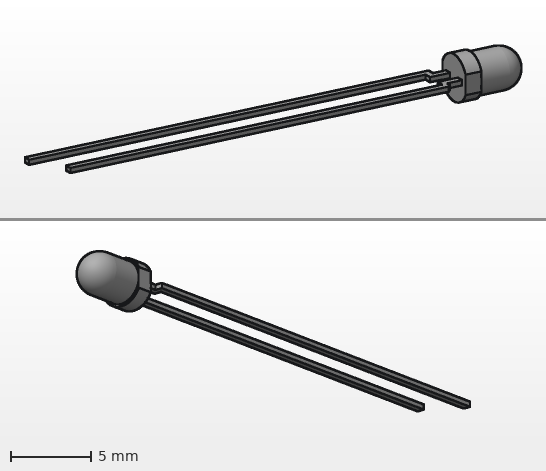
import cadquery as cq

flange_diameter = 3.18
flange_thickness = 1.15
barrel_diameter = 2.85
barrel_radius = barrel_diameter / 2
barrel_length = 2.1
flat_spacing = barrel_diameter

overall_length = 34.9
leads_outer_width = 3.05
lead_width = 0.52
lead_thickness = 0.35
shoulder_depth = 0.95
step_depth = shoulder_depth + lead_width
lead_length_difference = 1.5
sloped_shoulder_depth = 1.05
shoulder_chamfer = 0.25

barrel_top = flange_thickness + barrel_length
lens_height = barrel_top + barrel_radius
long_lead_length = overall_length - lens_height
short_lead_length = long_lead_length - lead_length_difference
lead_outer_x = leads_outer_width / 2
lead_inner_x = lead_outer_x - lead_width
stub_inner_x = lead_inner_x - lead_width


def make_lens():
    """Revolved flange, barrel and hemispherical dome, with flats on both sides of the flange."""
    flange = (
        cq.Workplane("XZ")
        .circle(flange_diameter / 2)
        .extrude(-flange_thickness)
        .intersect(
            cq.Workplane("XY").box(flat_spacing, 2 * flange_thickness, flange_diameter)
        )
    )
    dome_mid = barrel_radius * 0.5 ** 0.5
    barrel_and_dome = (
        cq.Workplane("XY")
        .lineTo(barrel_radius, 0)
        .lineTo(barrel_radius, barrel_top)
        .threePointArc((dome_mid, barrel_top + dome_mid), (0, lens_height))
        .close()
        .revolve(360, (0, 0, 0), (0, 1, 0))
    )
    return flange.union(barrel_and_dome)


def make_lead(side, length, shoulder, chamfer=0):
    """Stepped strip on the given side of the axis (-1 or +1), with an optional chamfered shoulder."""
    outline = [
        (stub_inner_x, 0),
        (lead_inner_x, 0),
        (lead_inner_x, -shoulder),
        (lead_outer_x, -shoulder),
        (lead_outer_x, -length),
        (lead_inner_x, -length),
        (lead_inner_x, -step_depth),
        (stub_inner_x, -step_depth),
    ]
    lead = (
        cq.Workplane("XY")
        .polyline([(side * x, y) for x, y in outline])
        .close()
        .extrude(lead_thickness / 2, both=True)
    )
    if chamfer:
        shoulder_corner = cq.selectors.NearestToPointSelector((side * lead_outer_x, -shoulder, 0))
        lead = lead.edges("|Z").edges(shoulder_corner).chamfer(chamfer)
    return lead


lens = make_lens()
long_lead = make_lead(-1, long_lead_length, shoulder_depth)
short_lead = make_lead(1, short_lead_length, sloped_shoulder_depth, shoulder_chamfer)

result = cq.Compound.makeCompound([lens.val(), long_lead.val(), short_lead.val()])